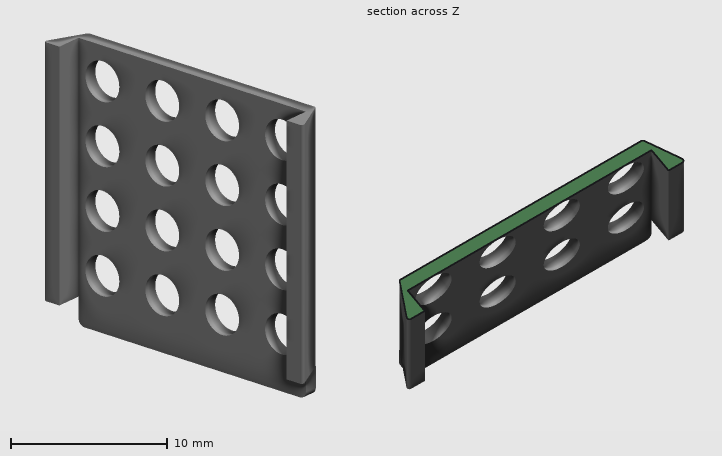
import cadquery as cq
import math

width = 21.55
depth = 2.9
height = 20.0

plate_width = 19.0
plate_thickness = 1.0
tongue_length = 2.0
tongue_corner_radius = 0.5
rail_edge_radius = 0.2

hole_diameter = 2.82
hole_columns = 4
hole_rows = 4
column_pitch = 5.0
row_pitch = 4.5
lowest_row_height = 3.99

half_plate = plate_width / 2
rail_height = height - tongue_length

foot_center_x = width / 2 - rail_edge_radius
foot_run = foot_center_x - half_plate
foot_drop = depth - rail_edge_radius
slope_angle = math.atan2(foot_run, foot_drop) + math.asin(
    rail_edge_radius / math.hypot(foot_run, foot_drop)
)
half_foot = half_plate + depth * math.tan(slope_angle)


def make_tongue():
    """Plate portion below the rails, with rounded lower corners; its back lies on Y = 0."""
    tongue = cq.Workplane("XY").box(
        plate_width, plate_thickness, tongue_length, centered=(True, False, False)
    )
    tongue = tongue.translate((0, -plate_thickness, 0))
    return tongue.edges("|Y and <Z").fillet(tongue_corner_radius)


def make_channel():
    """Channel section with two sloping rails, extruded upward above the tongue."""
    outline = [
        (-half_plate, 0),
        (half_plate, 0),
        (half_foot, -depth),
        (half_plate, -depth),
        (half_plate, -plate_thickness),
        (-half_plate, -plate_thickness),
        (-half_plate, -depth),
        (-half_foot, -depth),
    ]
    channel = (
        cq.Workplane("XY").workplane(offset=tongue_length)
        .polyline(outline).close().extrude(rail_height)
    )
    rear_edges = channel.edges("|Z and >Y")
    foot_edges = channel.edges("|Z and (<X or >X)")
    return channel.newObject(rear_edges.vals() + foot_edges.vals()).fillet(rail_edge_radius)


def make_hole_cutters():
    """Grid of cylinders passing through the plate."""
    grid_center_height = lowest_row_height + (hole_rows - 1) * row_pitch / 2
    return (
        cq.Workplane("XZ").center(0, grid_center_height)
        .rarray(column_pitch, row_pitch, hole_columns, hole_rows)
        .circle(hole_diameter / 2).extrude(plate_thickness)
    )


result = make_tongue().union(make_channel()).cut(make_hole_cutters())